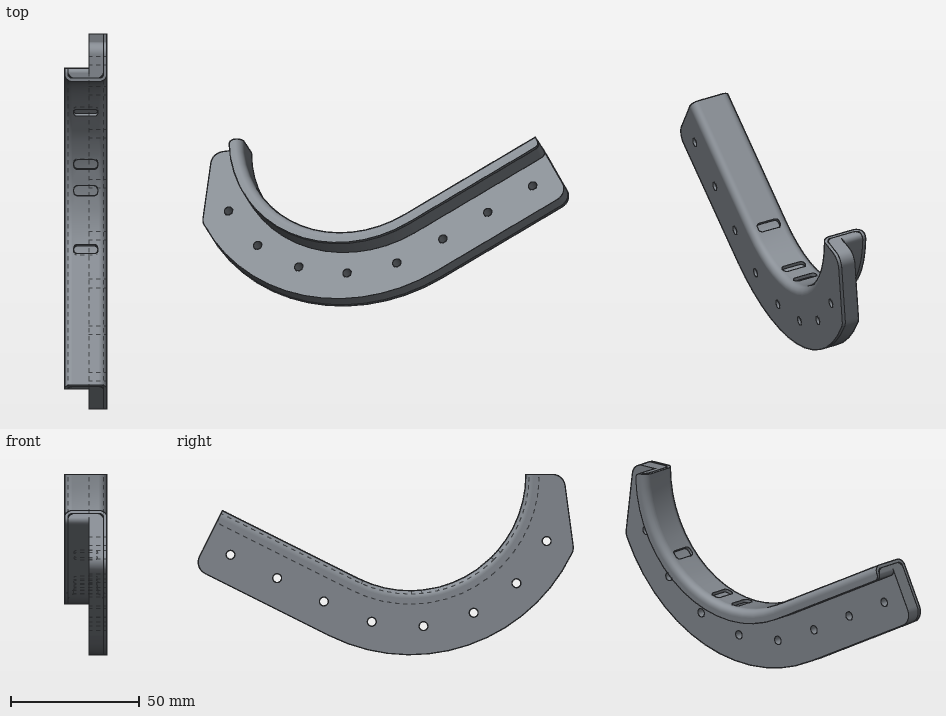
import cadquery as cq
import math

width = 16.5
inner_radius = 44.8
outer_radius = 69.7
arm_slope = math.atan(0.5)
arm_length = 58.9
top_rise = 0.3
top_end_y = 59.5
back_corner_y = 63.5
plate_corner = 5.0

sheet = 1.3
bend_round = 3.0
lip_depth = 5.2
lip_corner = 2.0
plate_thickness = 7.0
core_round = 2.6

hole_diameter = 3.3
hole_radius = 58.8
hole_pitch = 20.2
hole_end_margin = 10.5
hole_count = 8

slot_angles = [-26.6, 3.2, 16.4, 47.0]
slot_length = 9.3
slot_width = 4.0
slot_corner = 1.5
slot_cut_depth = 5.2
bend_middle = (math.pi / 2 - arm_slope) / 2


def on_arc(radius, angle):
    """Point of an arc about the bend axis, angle from straight down toward +Y."""
    return (radius * math.sin(angle), -radius * math.cos(angle))


def top_end(radius):
    """Point where the arc of that radius meets the upper end plane."""
    return (math.sqrt(radius**2 - top_rise**2), top_rise)


def on_arm(radius, distance):
    """Point on the arm's continuation of the arc, at a distance past the bend's end."""
    y, z = on_arc(radius, -arm_slope)
    return (y - distance * math.cos(arm_slope), z + distance * math.sin(arm_slope))


def fillet_edge(body, point, rounding):
    """Fillet the edge that passes through the point, with the edges tangent to it."""
    vertex = cq.Vertex.makeVertex(*point)
    edge = min(body.edges().vals(), key=lambda candidate: candidate.distance(vertex))
    return body.newObject([edge]).fillet(rounding)


def follow_inside(radius):
    """Open outline from the upper end around the bend to the arm's end."""
    return (
        cq.Workplane("YZ")
        .moveTo(*top_end(radius))
        .threePointArc(on_arc(radius, bend_middle), on_arc(radius, -arm_slope))
        .lineTo(*on_arm(radius, arm_length))
    )


def lip_strip():
    """Strip of full width and lip depth that follows the flange."""
    lip_radius = inner_radius + lip_depth
    arm_corner = on_arm(lip_radius, arm_length)
    top_corner = top_end(lip_radius)
    strip = (
        follow_inside(inner_radius)
        .lineTo(*arm_corner)
        .lineTo(*on_arc(lip_radius, -arm_slope))
        .threePointArc(on_arc(lip_radius, bend_middle), top_corner)
        .close()
        .extrude(width)
    )
    for corner in (arm_corner, top_corner):
        strip = fillet_edge(strip, (width / 2, *corner), lip_corner)
    return strip


def plate(radius, x_start, x_end):
    """Full-height plate whose inner edge lies at the given radius."""
    back_angle = math.asin(back_corner_y / outer_radius)
    arm_corner = on_arm(outer_radius, arm_length)
    back_corner = on_arc(outer_radius, back_angle)
    top_corner = (top_end_y, top_rise)
    blank = (
        follow_inside(radius)
        .lineTo(*arm_corner)
        .lineTo(*on_arc(outer_radius, -arm_slope))
        .threePointArc(on_arc(outer_radius, (back_angle - arm_slope) / 2), back_corner)
        .lineTo(*top_corner)
        .close()
        .extrude(x_end - x_start)
        .translate((x_start, 0, 0))
    )
    for corner in (arm_corner, back_corner, top_corner):
        blank = fillet_edge(blank, ((x_start + x_end) / 2, *corner), plate_corner)
    return blank


def rounded_plate(radius, x_start, x_end, rounding):
    """Plate with both edges of its inner surface rounded."""
    blank = plate(radius, x_start, x_end)
    for x in (x_start, x_end):
        blank = fillet_edge(blank, (x, *on_arc(radius, bend_middle)), rounding)
    return blank


def holes():
    """Cylinders through the whole width, evenly spaced along the hole line from the arm's end."""
    points = []
    for index in range(hole_count):
        distance = arm_length - hole_end_margin - index * hole_pitch
        if distance > 0:
            points.append(on_arm(hole_radius, distance))
        else:
            points.append(on_arc(hole_radius, -arm_slope - distance / hole_radius))
    return cq.Workplane("YZ").pushPoints(points).circle(hole_diameter / 2).extrude(width)


def slot_cutter(angle):
    """Rounded rectangular cutter that passes through the flange."""
    return (
        cq.Workplane("XY")
        .box(slot_length, slot_width, slot_cut_depth)
        .edges("|Z")
        .fillet(slot_corner)
        .translate((width / 2, 0, -inner_radius))
        .rotate((0, 0, 0), (1, 0, 0), angle)
    )


core_radius = inner_radius + sheet
core_start = sheet
core_end = width - sheet
web_start = width - plate_thickness


def make_cover():
    """Bent sheet cover: flange, short lip and full-height wall around the core."""
    cavity = rounded_plate(core_radius, core_start, core_end, bend_round - sheet)
    footprint = lip_strip().union(plate(inner_radius, core_end, width))
    cover = rounded_plate(inner_radius, 0, width, bend_round).intersect(footprint).cut(cavity).cut(holes())
    for angle in slot_angles:
        cover = cover.cut(slot_cutter(angle))
    return cover


def make_core():
    """Solid core: web against the cover's wall and a foot behind the lip."""
    footprint = lip_strip().union(plate(inner_radius, web_start, width))
    return rounded_plate(core_radius, core_start, core_end, core_round).intersect(footprint).cut(holes())


cover = make_cover()
core = make_core()
result = cq.Compound.makeCompound([*cover.vals(), *core.vals()])